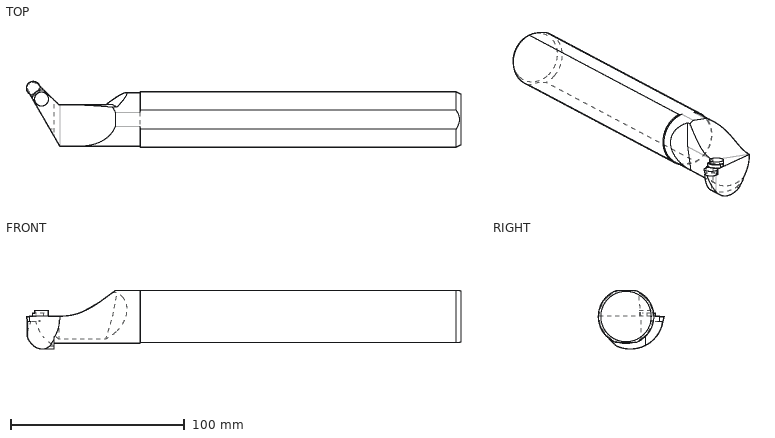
import cadquery as cq
import math


total_length = 250.0
shank_radius = 16.0
shank_start = 65.2
flat_height = 15.0
step_chamfer = 0.5
end_chamfer_length = 3.0
end_chamfer_drop = 1.5
neck_radius = 15.5

insert_radius = 4.0
insert_bottom_radius = 3.2
insert_thickness = 3.0
insert_x = insert_radius
insert_y = 18.0

floor_z = 0.2
nose_radius = 3.5
wall_y = 8.5
back_corner_x = 18.8
front_face_angle = 60.0
back_face_angle = 45.0
belly_radius = 19.0
belly_y = 2.5
belly_end = 16.0
belly_chord_top = (-13.0, -10.0)
belly_chord_bottom_y = -5.5

flute_start = 19.5
flute_middle = (42.0, 8.2)
flute_exit_x = 51.2
flute_exit_angle = 35.0

flank_top_y = 7.0
flank_end = (57.2, 15.5, 0.0)
flank_normal = (1.0, -1.1, -0.3)

boss_x = 8.8
boss_y = 11.8
boss_radius = 4.0
boss_top = 3.5
lip_radius = 5.2
lip_top = 2.0

cut_margin = 25.0
outline_margin = 2.5


def make_bar():
    """Shank with two flats and a chamfered end, plus the thinner neck."""
    chamfer_start = total_length - end_chamfer_length
    shank = (
        cq.Workplane("XY")
        .moveTo(shank_start, 0)
        .lineTo(shank_start, shank_radius - step_chamfer)
        .lineTo(shank_start + step_chamfer, shank_radius)
        .lineTo(chamfer_start, shank_radius)
        .lineTo(total_length, shank_radius - end_chamfer_drop)
        .lineTo(total_length, 0)
        .close()
        .revolve(360, (0, 0, 0), (1, 0, 0))
    )
    flats = cq.Workplane("XY").box(2 * total_length, 2 * shank_radius, 2 * flat_height)
    neck = cq.Workplane("YZ").circle(neck_radius).extrude(shank_start)
    neck_flat = (
        cq.Workplane("XY", origin=(0, 0, flat_height))
        .rect(2 * total_length, 4 * neck_radius)
        .extrude(cut_margin)
    )
    return shank.intersect(flats).union(neck.cut(neck_flat))


def make_belly():
    """Part-round block under the tip, flattened on a chord at its -Y side."""
    chord_dy = belly_chord_bottom_y - belly_y
    chord_bottom_z = floor_z - math.sqrt(belly_radius**2 - chord_dy**2)
    mid_offset = belly_radius * math.sqrt(0.5)
    return (
        cq.Workplane("YZ")
        .moveTo(belly_y + belly_radius, floor_z)
        .threePointArc(
            (belly_y + mid_offset, floor_z - mid_offset), (belly_chord_bottom_y, chord_bottom_z)
        )
        .lineTo(*belly_chord_top)
        .lineTo(belly_chord_top[0], floor_z)
        .close()
        .extrude(belly_end)
    )


def make_head_outline():
    """Prism bounding the head: two faces tangent to the round nose."""
    front = math.radians(front_face_angle)
    back = math.radians(back_face_angle)
    front_tangent = (
        insert_x - nose_radius * math.sin(front),
        insert_y - nose_radius * math.cos(front),
    )
    back_tangent = (
        insert_x + nose_radius * math.sin(back),
        insert_y + nose_radius * math.cos(back),
    )
    tip_angle = (front + back) / 2
    nose_tip = (
        insert_x - nose_radius * math.cos(tip_angle),
        insert_y + nose_radius * math.sin(tip_angle),
    )
    outer_y = shank_radius + outline_margin
    front_bottom_x = front_tangent[0] + (front_tangent[1] + outer_y) / math.tan(front)
    return (
        cq.Workplane("XY", origin=(0, 0, -cut_margin))
        .moveTo(*front_tangent)
        .threePointArc(nose_tip, back_tangent)
        .lineTo(back_corner_x, wall_y)
        .lineTo(back_corner_x, outer_y)
        .lineTo(total_length + outline_margin, outer_y)
        .lineTo(total_length + outline_margin, -outer_y)
        .lineTo(front_bottom_x, -outer_y)
        .close()
        .extrude(2 * cut_margin)
    )


def make_flute():
    """Space above the head floor and the smooth curve rising to the flat."""
    angle = math.radians(flute_exit_angle)
    slope_end_x = flute_exit_x + (cut_margin - flat_height) / math.tan(angle)
    return (
        cq.Workplane("XZ", origin=(0, cut_margin, 0))
        .moveTo(-outline_margin, floor_z)
        .lineTo(flute_start, floor_z)
        .spline(
            [flute_middle, (flute_exit_x, flat_height)],
            tangents=[(1, 0), (math.cos(angle), math.sin(angle))],
            includeCurrent=True,
        )
        .lineTo(slope_end_x, cut_margin)
        .lineTo(-outline_margin, cut_margin)
        .close()
        .extrude(2 * cut_margin)
    )


def make_flank_relief():
    """Slightly leaning side cut that ends on an oblique plane."""
    side = (
        cq.Workplane("YZ", origin=(back_corner_x, 0, 0))
        .polyline([
            (wall_y, -cut_margin),
            (wall_y, floor_z),
            (flank_top_y, flat_height),
            (cut_margin, flat_height),
            (cut_margin, -cut_margin),
        ])
        .close()
        .extrude(shank_start - back_corner_x)
    )
    end_plane = cq.Plane(
        origin=flank_end,
        xDir=(0, flank_normal[2], -flank_normal[1]),
        normal=flank_normal,
    )
    beyond = cq.Workplane(end_plane).rect(total_length, total_length).extrude(total_length)
    return side.cut(beyond)


def make_boss():
    """Clamp boss with a low lip that reaches over the insert."""
    boss = cq.Workplane("XY").center(boss_x, boss_y).circle(boss_radius).extrude(boss_top)
    nose_direction = math.degrees(math.atan2(insert_y - boss_y, insert_x - boss_x))
    lip_band = (
        cq.Workplane("XY")
        .center(lip_radius / 2, 0)
        .rect(lip_radius, 2 * boss_radius)
        .extrude(lip_top)
        .rotate((0, 0, 0), (0, 0, 1), nose_direction)
        .translate((boss_x, boss_y, 0))
    )
    lip = cq.Workplane("XY").center(boss_x, boss_y).circle(lip_radius).extrude(lip_top)
    return boss.union(lip.intersect(lip_band))


def make_insert():
    """Round insert tapering downwards from its top edge."""
    return (
        cq.Workplane("XY", origin=(insert_x, insert_y, -insert_thickness))
        .circle(insert_bottom_radius)
        .workplane(offset=insert_thickness)
        .circle(insert_radius)
        .loft()
    )


def make_holder(insert):
    """Boring bar with its head, boss and a seat matching the insert."""
    seat_clearance = (
        cq.Workplane("XY", origin=(insert_x, insert_y, -insert_thickness))
        .circle(insert_radius)
        .extrude(insert_thickness + floor_z)
    )
    body = make_bar().union(make_belly()).intersect(make_head_outline())
    body = body.cut(make_flute()).cut(make_flank_relief())
    return body.cut(seat_clearance).union(make_boss()).cut(insert)


insert = make_insert()
holder = make_holder(insert)

result = cq.Compound.makeCompound([holder.val(), insert.val()])